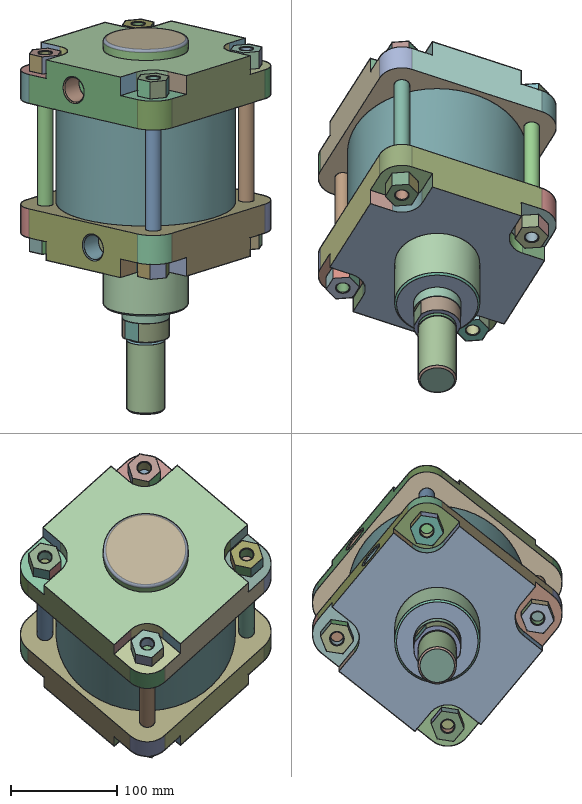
import cadquery as cq
import math

rod_end_length = 68.0
groove_length = 4.0
flats_length = 18.0
collar_length = 12.0
nose_length = 54.3
head_thickness = 46.5
barrel_length = 102.8

groove_bottom = rod_end_length
flats_bottom = groove_bottom + groove_length
collar_bottom = flats_bottom + flats_length
nose_bottom = collar_bottom + collar_length
front_head_bottom = nose_bottom + nose_length
barrel_bottom = front_head_bottom + head_thickness
barrel_top = barrel_bottom + barrel_length
rear_head_top = barrel_top + head_thickness
overall_length = 362.0
rear_boss_height = overall_length - rear_head_top

head_width = 180.0
tie_rod_offset = 67.0
head_corner_radius = head_width / 2 - tie_rod_offset
pocket_depth = 18.0
pocket_radius = 21.0
boss_diameter = 80.0
rear_boss_edge_radius = 2.5
nose_chamfer = 1.8
port_diameter = 26.0
port_rim_chamfer = 1.0
port_offset = 12.0
port_depth = 21.7

barrel_diameter = 168.7

tie_rod_diameter = 15.0
nut_across_flats = 27.0
nut_across_corners = nut_across_flats / math.cos(math.pi / 6)
nut_recess = 1.5
nut_height = pocket_depth - nut_recess
socket_diameter = 12.3
socket_depth = 14.5
socket_chamfer = 0.7
countersink_angle = 90

collar_diameter = 45.0
flats_diameter = 44.0
flats_width = 41.0
thread_diameter = 36.0
groove_depth = 1.63
thread_chamfer = 1.8

tie_rod_axes = [
    (x_side * tie_rod_offset, y_side * tie_rod_offset) for x_side in (-1, 1) for y_side in (-1, 1)
]


def cylinder(diameter, bottom, length):
    return cq.Workplane("XY", origin=(0, 0, bottom)).circle(diameter / 2).extrude(length)


def corner_pockets(bottom):
    """Four nut pockets, each open to two sides and rounded about its tie rod axis."""
    inner_edge = tie_rod_offset - pocket_radius
    pocket_width = head_width
    center = inner_edge + pocket_width / 2
    return (
        cq.Workplane("XY", origin=(0, 0, bottom))
        .rect(2 * center, 2 * center, forConstruction=True)
        .vertices()
        .rect(pocket_width, pocket_width)
        .extrude(pocket_depth)
        .edges("|Z")
        .fillet(pocket_radius)
    )


def port(x, z):
    """Blind round port with a chamfered rim, entering from the -Y side at (x, z)."""
    rim_center = (x, -head_width / 2, z)
    bore_radius = port_diameter / 2 - port_rim_chamfer
    bore = cq.Workplane("XZ", origin=rim_center).circle(bore_radius).extrude(-port_depth)
    rim = cq.Solid.makeCone(
        port_diameter / 2, bore_radius, port_rim_chamfer, pnt=rim_center, dir=(0, 1, 0)
    )
    return bore.union(cq.Workplane(rim))


def head(bottom, pocket_bottom, boss, port_x):
    """Square head with nut pockets, a round boss, tie rod holes and a port."""
    block = (
        cq.Workplane("XY", origin=(0, 0, bottom))
        .rect(head_width, head_width)
        .extrude(head_thickness)
        .edges("|Z")
        .fillet(head_corner_radius)
    )
    tie_rod_holes = (
        cq.Workplane("XY", origin=(0, 0, bottom))
        .pushPoints(tie_rod_axes)
        .circle(tie_rod_diameter / 2)
        .extrude(head_thickness)
    )
    return (
        block.cut(corner_pockets(pocket_bottom))
        .union(boss)
        .cut(tie_rod_holes)
        .cut(port(port_x, bottom + head_thickness / 2))
    )


def nut(x, y, bottom):
    """Hexagon with two flats facing +Y and -Y."""
    return (
        cq.Workplane("XY", origin=(x, y, bottom))
        .polygon(6, nut_across_corners)
        .extrude(nut_height)
    )


def tie_rod(x, y):
    """Rod through both heads with a nut and a blind socket at each end."""
    lower_end = front_head_bottom + nut_recess
    upper_end = rear_head_top - nut_recess
    body = (
        cylinder(tie_rod_diameter, lower_end, upper_end - lower_end)
        .translate((x, y, 0))
        .union(nut(x, y, lower_end))
        .union(nut(x, y, upper_end - nut_height))
    )
    for face in ("<Z", ">Z"):
        body = body.faces(face).workplane(origin=(x, y, 0)).cskHole(
            socket_diameter, socket_diameter + 2 * socket_chamfer, countersink_angle, socket_depth
        )
    return body


def wrench_flats():
    """Round section cut by two parallel flats facing +Y and -Y."""
    slab = (
        cq.Workplane("XY", origin=(0, 0, flats_bottom))
        .rect(2 * flats_diameter, flats_width)
        .extrude(flats_length)
    )
    return cylinder(flats_diameter, flats_bottom, flats_length).intersect(slab)


def threaded_end():
    """Chamfered stud with a relief groove, sloped on both sides, below the wrench flats."""
    radius = thread_diameter / 2
    groove_radius = radius - groove_depth
    return (
        cq.Workplane("XZ")
        .moveTo(0, 0)
        .lineTo(radius - thread_chamfer, 0)
        .lineTo(radius, thread_chamfer)
        .lineTo(radius, groove_bottom)
        .lineTo(groove_radius, groove_bottom + groove_depth)
        .lineTo(groove_radius, flats_bottom - groove_depth)
        .lineTo(radius, flats_bottom)
        .lineTo(0, flats_bottom)
        .close()
        .revolve(360, (0, 0, 0), (0, 1, 0))
    )


def piston_rod():
    """Threaded end, wrench flats and collar, butting against the nose of the front head."""
    collar = cylinder(collar_diameter, collar_bottom, collar_length)
    return threaded_end().union(wrench_flats()).union(collar)


nose = cylinder(boss_diameter, nose_bottom, nose_length).faces("<Z").chamfer(nose_chamfer)
rear_boss = (
    cylinder(boss_diameter, rear_head_top, rear_boss_height)
    .faces(">Z")
    .edges()
    .fillet(rear_boss_edge_radius)
)
front_head = head(front_head_bottom, front_head_bottom, nose, port_offset)
rear_head = head(barrel_top, rear_head_top - pocket_depth, rear_boss, -port_offset)
barrel = cylinder(barrel_diameter, barrel_bottom, barrel_length)
rod = piston_rod()
tie_rods = [tie_rod(x, y) for x, y in tie_rod_axes]

result = cq.Compound.makeCompound(
    [front_head.val(), rear_head.val(), barrel.val(), rod.val(), *[tie.val() for tie in tie_rods]]
)